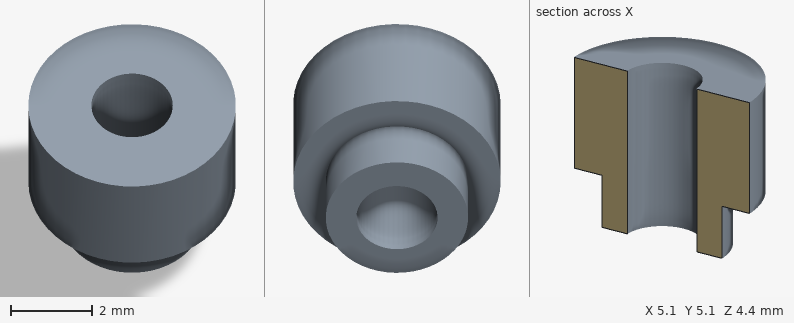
import cadquery as cq

head_diameter = 5.1
spigot_diameter = 3.5
bore_diameter = 2.0
total_height = 4.4
head_height = 3.0
spigot_height = total_height - head_height

spigot = cq.Workplane("XY").circle(spigot_diameter / 2).extrude(spigot_height)

stepped_body = spigot.faces(">Z").workplane().circle(head_diameter / 2).extrude(head_height)

result = stepped_body.faces(">Z").workplane().hole(bore_diameter)